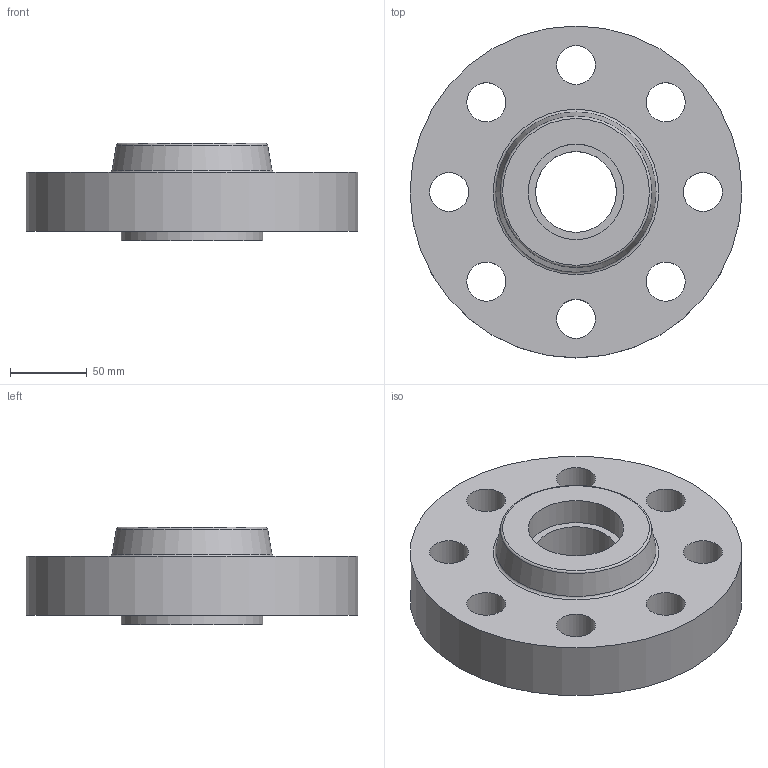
import cadquery as cq

flange_diameter = 215.9
flange_thickness = 38.1
raised_face_diameter = 92.1
raised_face_height = 6.35
total_height = 63.5

hub_base_diameter = 104.6
hub_top_diameter = 98.0
hub_base_fillet = 1.8
hub_top_fillet = 1.5

bore_diameter = 52.5
socket_diameter = 62.0
socket_depth = 17.5

bolt_count = 8
bolt_hole_diameter = 25.4
bolt_circle_diameter = 165.1

flange_top = raised_face_height + flange_thickness
hub_height = total_height - flange_top


def cylinder(diameter, height, base):
    """Solid cylinder on the Z axis, standing on the height `base`."""
    return cq.Workplane("XY").workplane(offset=base).circle(diameter / 2).extrude(height)


def make_hub():
    """Tapered hub that starts at the top of the flange."""
    return (
        cq.Workplane("XY")
        .workplane(offset=flange_top)
        .circle(hub_base_diameter / 2)
        .workplane(offset=hub_height)
        .circle(hub_top_diameter / 2)
        .loft(ruled=True)
    )


def make_body():
    """Raised face, flange disc and hub, with the hub edges rounded."""
    body = cylinder(raised_face_diameter, raised_face_height, 0)
    body = body.union(cylinder(flange_diameter, flange_thickness, raised_face_height))
    body = body.union(make_hub())
    body = body.faces(">Z").edges().fillet(hub_top_fillet)
    flange_top_face = body.faces("|Z").faces(">Z[-2]")
    return flange_top_face.edges(cq.selectors.RadiusNthSelector(0)).fillet(hub_base_fillet)


def cut_bore_and_socket(body):
    """Through bore, widened at the hub end to seat the pipe."""
    bore = cylinder(bore_diameter, total_height, 0)
    socket = cylinder(socket_diameter, socket_depth, total_height - socket_depth)
    return body.cut(bore).cut(socket)


def cut_bolt_holes(body):
    """Evenly spaced through holes, the first one on the X axis."""
    holes = (
        cq.Workplane("XY")
        .workplane(offset=raised_face_height)
        .polarArray(bolt_circle_diameter / 2, 0, 360, bolt_count)
        .circle(bolt_hole_diameter / 2)
        .extrude(flange_thickness)
    )
    return body.cut(holes)


result = cut_bolt_holes(cut_bore_and_socket(make_body()))